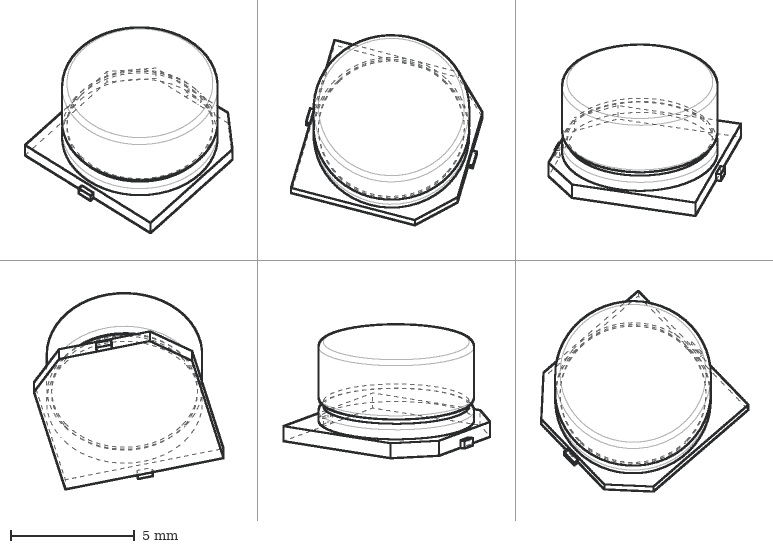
import cadquery as cq
import math

total_length = 7.0
total_height = 3.9
base_side = 6.6
base_height = 0.63
base_corner_cut = 1.41
can_diameter = 6.3
neck_diameter = 5.9
lower_band_height = 0.4
groove_height = 0.18
terminal_width = 0.63
terminal_height = 0.315

can_radius = can_diameter / 2
neck_radius = neck_diameter / 2
rounding = can_radius - neck_radius
rounding_diagonal = rounding * math.sqrt(0.5)
terminal_length = (total_length - base_side) / 2


def make_base():
    """Square base plate with its two +Y corners cut off."""
    plate = cq.Workplane("XY").rect(base_side, base_side).extrude(base_height)
    return plate.edges("|Z and >Y").chamfer(base_corner_cut)


def make_can():
    """Round can standing on the base, with a crimp groove and rounded rims."""
    band_top = base_height + lower_band_height
    groove_bottom = band_top + rounding
    groove_top = groove_bottom + groove_height
    wall_bottom = groove_top + rounding
    wall_top = total_height - rounding
    arc_middle_radius = neck_radius + rounding_diagonal
    profile = (
        cq.Workplane("XZ")
        .moveTo(0, base_height)
        .lineTo(can_radius, base_height)
        .lineTo(can_radius, band_top)
        .threePointArc((arc_middle_radius, band_top + rounding_diagonal), (neck_radius, groove_bottom))
        .lineTo(neck_radius, groove_top)
        .threePointArc((arc_middle_radius, wall_bottom - rounding_diagonal), (can_radius, wall_bottom))
        .lineTo(can_radius, wall_top)
        .threePointArc((arc_middle_radius, wall_top + rounding_diagonal), (neck_radius, total_height))
        .lineTo(0, total_height)
        .close()
    )
    return profile.revolve(360, (0, 0, 0), (0, 1, 0))


def make_terminal(side):
    """Terminal tab against the base edge on the -Y (side = -1) or +Y (side = 1) side."""
    center_y = side * (base_side + terminal_length) / 2
    return (
        cq.Workplane("XY")
        .center(0, center_y)
        .rect(terminal_width, terminal_length)
        .extrude(terminal_height)
    )


base = make_base()
can = make_can()
terminals = [make_terminal(side) for side in (-1, 1)]

result = cq.Compound.makeCompound([base.val(), can.val(), *[terminal.val() for terminal in terminals]])